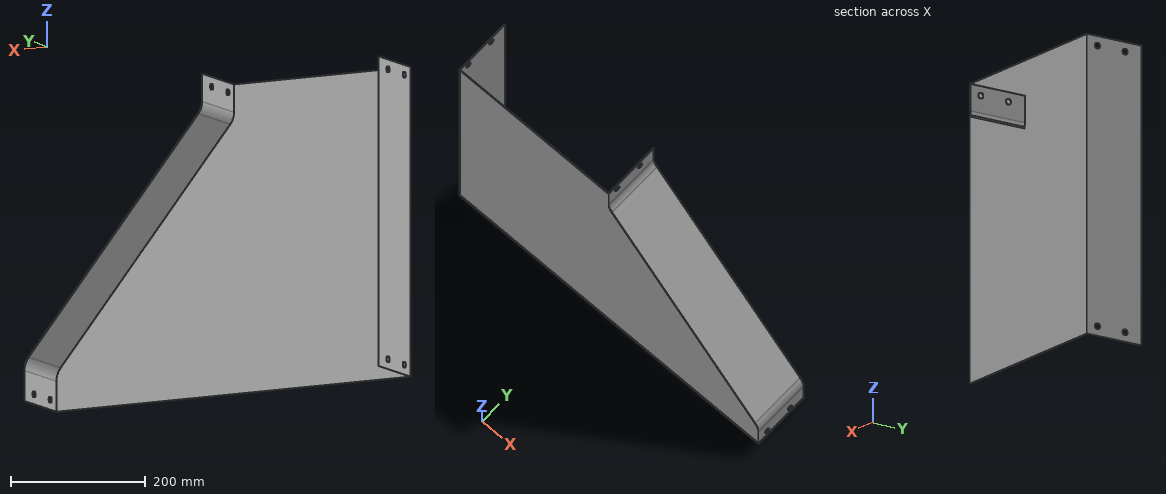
import cadquery as cq
import math

length = 600.0
depth = 100.0
height = 468.0
sheet = 1.0

top_length = 299.5
lower_corner_height = 57.5
upper_corner_drop = 51.5
upper_bend_radius = 27.0
lower_bend_radius = 31.0

hole_diameter = 9.0
hole_end_distance = 15.0
hole_front_distance = 20.0
hole_spacing = 50.5

upper_corner_height = height - upper_corner_drop
slope_run = length - top_length
slope_rise = upper_corner_height - lower_corner_height
slope_angle = math.atan2(slope_rise, slope_run)
bend_angle = math.pi / 2 - slope_angle
inner_corner_shift = sheet * math.tan(bend_angle / 2)


def plate_outline(inset, corner_shift, upper_radius, lower_radius):
    """Solid through the full depth, bounded by the plate outline with its sides moved inward."""
    right = length - inset
    body = (
        cq.Workplane("XZ")
        .moveTo(inset, 0)
        .lineTo(right, 0)
        .lineTo(right, lower_corner_height - corner_shift)
        .lineTo(top_length - inset, upper_corner_height - corner_shift)
        .lineTo(top_length - inset, height)
        .lineTo(inset, height)
        .close()
        .extrude(-depth)
    )
    upper_bend = cq.selectors.NearestToPointSelector((top_length, depth / 2, upper_corner_height))
    lower_bend = cq.selectors.NearestToPointSelector((length, depth / 2, lower_corner_height))
    body = body.edges("|Y").edges(upper_bend).fillet(upper_radius)
    return body.edges("|Y").edges(lower_bend).fillet(lower_radius)


def flange_holes():
    """Hole cutters along X, through both side flanges at the top and bottom."""
    first = hole_front_distance
    points = [
        (y, z)
        for y in (first, first + hole_spacing)
        for z in (hole_end_distance, height - hole_end_distance)
    ]
    return cq.Workplane("YZ").pushPoints(points).circle(hole_diameter / 2).extrude(length)


outer = plate_outline(0, 0, upper_bend_radius, lower_bend_radius)
inner = plate_outline(
    sheet, inner_corner_shift, upper_bend_radius + sheet, lower_bend_radius - sheet
)
result = outer.cut(inner.translate((0, sheet, 0))).cut(flange_holes())